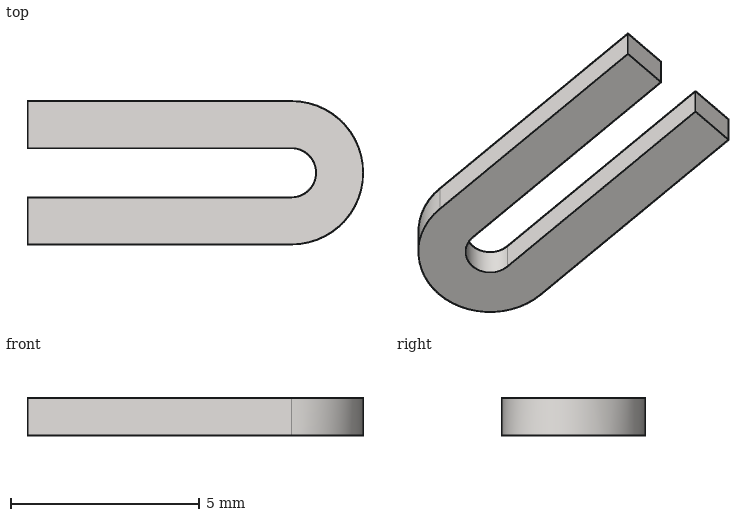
import cadquery as cq

length = 8.91
width = 3.81
thickness = 1.0
slot_width = 1.3

outer_radius = width / 2
inner_radius = slot_width / 2
bend_x = length - outer_radius

outline = (
    cq.Workplane("XY")
    .moveTo(0, -outer_radius)
    .lineTo(bend_x, -outer_radius)
    .threePointArc((length, 0), (bend_x, outer_radius))
    .lineTo(0, outer_radius)
    .lineTo(0, inner_radius)
    .lineTo(bend_x, inner_radius)
    .threePointArc((bend_x + inner_radius, 0), (bend_x, -inner_radius))
    .lineTo(0, -inner_radius)
    .close()
)

result = outline.extrude(thickness)